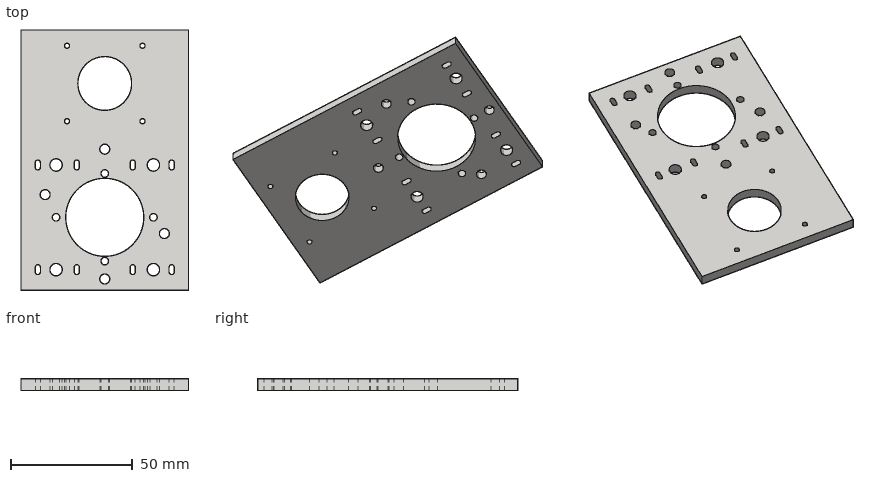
import cadquery as cq

PLATE_WIDTH = 69.0
PLATE_LENGTH = 107.0
PLATE_THICKNESS = 5.0

MOTOR_CENTER_Y = PLATE_LENGTH / 2 - 22.0
MOTOR_BORE_DIAMETER = 22.0
MOTOR_SCREW_SPACING = 31.0
MOTOR_SCREW_DIAMETER = 2.0

MAIN_CENTER_Y = -PLATE_LENGTH / 2 + 30.0
MAIN_BORE_DIAMETER = 32.0
MAIN_SCREW_OFFSET_X = 20.0
MAIN_SCREW_OFFSET_Y = 18.0
MAIN_SCREW_DIAMETER = 3.0

STATION_OFFSET_X = 20.0
STATION_OFFSET_Y = 21.5
STATION_HOLE_DIAMETER = 5.0
SLOT_SPACING = 16.0
SLOT_CENTER_X = 19.5
SLOT_WIDTH = 2.0
SLOT_LENGTH = 4.0

OUTER_SHIFT_Y = 1.33
OUTER_CENTER_Y = MAIN_CENTER_Y + OUTER_SHIFT_Y
OUTER_END_OFFSET_Y = 26.67
OUTER_SIDE_OFFSET_X = 24.5
OUTER_SIDE_OFFSET_Y = 8.0
OUTER_HOLE_DIAMETER = 4.0


def make_plate():
    return cq.Workplane("XY").box(PLATE_WIDTH, PLATE_LENGTH, PLATE_THICKNESS)


def cut_holes(body, points, diameter):
    """Drill through holes at points given in plate coordinates."""
    return body.faces(">Z").workplane(origin=(0, 0, 0)).pushPoints(points).hole(diameter)


def cut_slots(body, points):
    """Cut through slots running along Y at points given in plate coordinates."""
    top = body.faces(">Z").workplane(origin=(0, 0, 0))
    return top.pushPoints(points).slot2D(SLOT_LENGTH, SLOT_WIDTH, 90).cutThruAll()


def cut_motor_mount(body):
    half = MOTOR_SCREW_SPACING / 2
    screws = [(x, MOTOR_CENTER_Y + y) for x in (-half, half) for y in (-half, half)]
    body = cut_holes(body, [(0, MOTOR_CENTER_Y)], MOTOR_BORE_DIAMETER)
    return cut_holes(body, screws, MOTOR_SCREW_DIAMETER)


def cut_main_bore(body):
    screws = []
    for side in (-1, 1):
        screws.append((side * MAIN_SCREW_OFFSET_X, MAIN_CENTER_Y))
        screws.append((0, MAIN_CENTER_Y + side * MAIN_SCREW_OFFSET_Y))
    body = cut_holes(body, [(0, MAIN_CENTER_Y)], MAIN_BORE_DIAMETER)
    return cut_holes(body, screws, MAIN_SCREW_DIAMETER)


def cut_stations(body):
    holes = []
    slots = []
    for side_x in (-1, 1):
        for side_y in (-1, 1):
            y = MAIN_CENTER_Y + side_y * STATION_OFFSET_Y
            holes.append((side_x * STATION_OFFSET_X, y))
            slots.append((side_x * (SLOT_CENTER_X - SLOT_SPACING / 2), y))
            slots.append((side_x * (SLOT_CENTER_X + SLOT_SPACING / 2), y))
    body = cut_holes(body, holes, STATION_HOLE_DIAMETER)
    return cut_slots(body, slots)


def cut_outer_holes(body):
    holes = []
    for side in (-1, 1):
        holes.append((0, OUTER_CENTER_Y + side * OUTER_END_OFFSET_Y))
        holes.append((-side * OUTER_SIDE_OFFSET_X, OUTER_CENTER_Y + side * OUTER_SIDE_OFFSET_Y))
    return cut_holes(body, holes, OUTER_HOLE_DIAMETER)


result = make_plate()
result = cut_motor_mount(result)
result = cut_main_bore(result)
result = cut_stations(result)
result = cut_outer_holes(result)